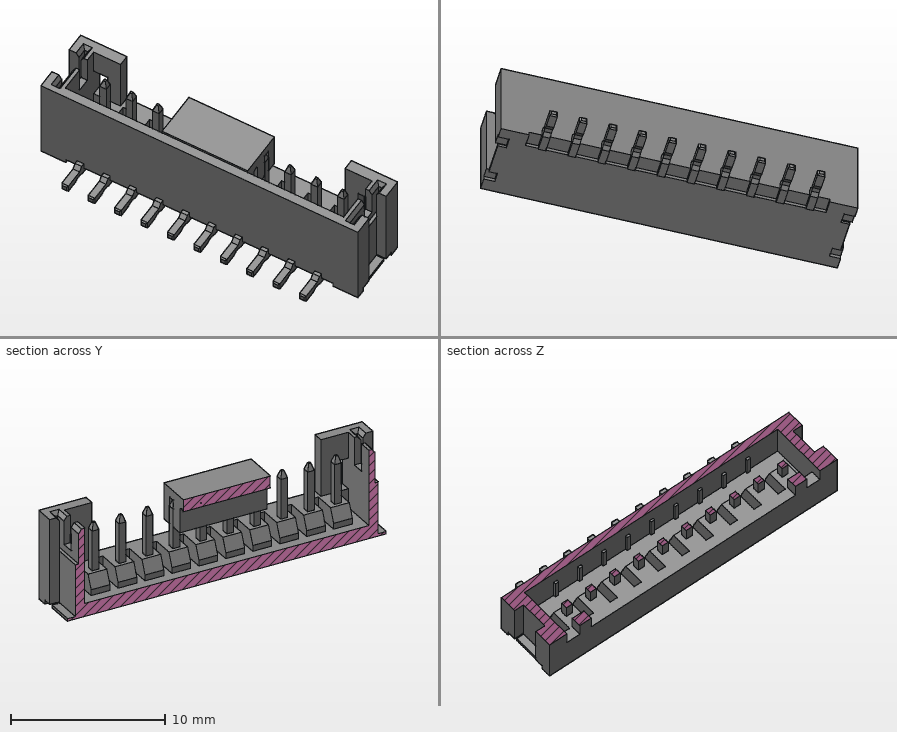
import cadquery as cq


LENGTH = 24.0
DEPTH = 5.0
HEIGHT = 6.6
FRONT_WALL = 0.65
BACK_WALL = 0.8
END_WALL = 1.46
FLOOR_TOP = 1.0
LOW_WALL_TOP = 2.4
CORNER_LENGTH = 3.5
CAVITY_BACK = DEPTH - BACK_WALL
CAVITY_HALF = LENGTH / 2 - END_WALL

RECESS_FRONT = 1.4
RECESS_BACK = 3.55
RECESS_STEP_Z = 4.05
RECESS_LOWER = 0.75
RECESS_UPPER = 0.98
FOOT_PLATE_INSET = 0.17
FOOT_PLATE_TOP = 0.22
GROOVE_FRONT = 0.65
GROOVE_BACK = 4.25
LEAD_IN = 0.22
LEAD_IN_HEIGHT = 0.3
END_SLOT_FRONT = 2.45
END_SLOT_BACK = 3.4
END_SLOT_BOTTOM = 4.55

RELIEF_HEIGHT = 0.3
RELIEF_HALF = 10.1
FRONT_RELIEF_DEPTH = 0.9
NOTCH_FRONT = 0.7

PIN_COUNT = 10
PITCH = LENGTH / 12
PIN = 0.5
PIN_Y = 3.07
PIN_TOP = 5.85
PIN_TIP = 0.17
PIN_TAPER = 0.5
TAIL_END = -2.02
TAIL_BOTTOM = -0.1
TAIL_TOP = 0.43
TAIL_CHAMFER = 0.1
SHOULDER_TOP = 0.72
SHOULDER_END = -0.26
SHOULDER_SLOPE_END = -0.53
ARCH_TOP = 0.05
ARCH_BACK = -0.17
ARCH_TOP_BACK = -0.48
ARCH_TOP_FRONT = -0.77
ARCH_FRONT = -1.05

TOOTH_WIDTH = 1.4
TOOTH_FRONT = 2.15
TOOTH_TOP_FRONT = 2.57
TOOTH_SLOPE_BOTTOM = 1.45
RIB_WIDTH = 0.3
RIB_DEPTH = 0.17
WINDOW_WIDTH = 1.05
WINDOW_TOP = 4.68

CAP_LENGTH = 6.48
CAP_FRONT = 0.7
CAP_BACK = 4.05
CAP_BOTTOM = 4.0
CAP_TOP = HEIGHT + 0.1
CHANNEL_TOP = 6.0
CLIP_CHANNEL_Y = 1.7
CLIP_CHANNEL_WIDTH = 0.48
CLIP_CHANNEL_TOP = 5.9

pin_places = [(i - (PIN_COUNT - 1) / 2) * PITCH for i in range(PIN_COUNT)]
rib_places = [x + PITCH / 2 for x in pin_places[:-1]]


def block(x0, x1, y0, y1, z0, z1):
    """Box between two opposite corners."""
    return cq.Workplane("XY").box(x1 - x0, y1 - y0, z1 - z0, centered=False).translate((x0, y0, z0))


def side_prism(outline, x, width):
    """Prism of a (y, z) outline, centred on x and running along X."""
    return cq.Workplane("YZ", origin=(x - width / 2, 0, 0)).polyline(outline).close().extrude(width)


def make_end_cut():
    """Material removed at the left end: outer recess, latch groove and slot into the cavity."""
    end = -LENGTH / 2
    inner = end + RECESS_UPPER
    outer = end + RECESS_LOWER
    cut = block(end, outer, RECESS_FRONT, RECESS_BACK, FOOT_PLATE_TOP, HEIGHT)
    plate_gap = block(end, end + FOOT_PLATE_INSET, RECESS_FRONT, RECESS_BACK, 0, FOOT_PLATE_TOP)
    groove = block(outer, inner, GROOVE_FRONT, GROOVE_BACK, RECESS_STEP_Z, HEIGHT)
    middle_x = (outer + inner) / 2
    middle_y = (GROOVE_FRONT + GROOVE_BACK) / 2
    lead_in = (
        cq.Workplane("XY", origin=(middle_x, middle_y, HEIGHT - LEAD_IN_HEIGHT))
        .rect(inner - outer, GROOVE_BACK - GROOVE_FRONT)
        .workplane(offset=LEAD_IN_HEIGHT)
        .rect(inner - outer + 2 * LEAD_IN, GROOVE_BACK - GROOVE_FRONT + 2 * LEAD_IN)
        .loft(ruled=True)
    )
    slot = block(outer, -CAVITY_HALF, END_SLOT_FRONT, END_SLOT_BACK, END_SLOT_BOTTOM, HEIGHT)
    cut = cut.union(plate_gap).union(groove).union(lead_in).union(slot)
    for y0, y1 in ((NOTCH_FRONT, RECESS_FRONT), (RECESS_BACK, CAVITY_BACK)):
        cut = cut.union(block(end, outer, y0, y1, 0, RELIEF_HEIGHT))
    return cut


def make_shroud():
    body = block(-LENGTH / 2, LENGTH / 2, 0, DEPTH, 0, HEIGHT)
    body = body.cut(block(-CAVITY_HALF, CAVITY_HALF, FRONT_WALL, CAVITY_BACK, FLOOR_TOP, HEIGHT))

    low_half = LENGTH / 2 - CORNER_LENGTH
    body = body.cut(block(-low_half, low_half, CAVITY_BACK, DEPTH, LOW_WALL_TOP, HEIGHT))

    window_start = CAVITY_HALF - WINDOW_WIDTH
    window = block(window_start, CAVITY_HALF, CAVITY_BACK, DEPTH, LOW_WALL_TOP, WINDOW_TOP)
    body = body.cut(window).cut(window.mirror("YZ"))

    end_cut = make_end_cut()
    body = body.cut(end_cut).cut(end_cut.mirror("YZ"))
    return body.cut(block(-RELIEF_HALF, RELIEF_HALF, 0, FRONT_RELIEF_DEPTH, 0, RELIEF_HEIGHT))


def make_tooth(x):
    """Block standing against the back wall, with a sloped front."""
    outline = [
        (TOOTH_FRONT, FLOOR_TOP),
        (CAVITY_BACK, FLOOR_TOP),
        (CAVITY_BACK, LOW_WALL_TOP),
        (TOOTH_TOP_FRONT, LOW_WALL_TOP),
        (TOOTH_FRONT, TOOTH_SLOPE_BOTTOM),
    ]
    return side_prism(outline, x, TOOTH_WIDTH)


def make_rib(x):
    half = RIB_WIDTH / 2
    return block(x - half, x + half, FRONT_WALL, FRONT_WALL + RIB_DEPTH, FLOOR_TOP, LOW_WALL_TOP)


def make_pin(x):
    """Upright contact with a tapered tip, and a tail leaving under the front wall."""
    taper_start = PIN_TOP - PIN_TAPER
    half = PIN / 2
    post = block(x - half, x + half, PIN_Y - half, PIN_Y + half, FLOOR_TOP, taper_start)
    tip = (
        cq.Workplane("XY", origin=(x, PIN_Y, taper_start))
        .rect(PIN, PIN)
        .workplane(offset=PIN_TAPER)
        .rect(PIN_TIP, PIN_TIP)
        .loft(ruled=True)
    )
    tail_outline = [
        (FRONT_RELIEF_DEPTH, TAIL_BOTTOM),
        (FRONT_RELIEF_DEPTH, SHOULDER_TOP),
        (SHOULDER_END, SHOULDER_TOP),
        (SHOULDER_SLOPE_END, TAIL_TOP),
        (TAIL_END, TAIL_TOP),
        (TAIL_END, TAIL_BOTTOM),
        (ARCH_FRONT, TAIL_BOTTOM),
        (ARCH_TOP_FRONT, ARCH_TOP),
        (ARCH_TOP_BACK, ARCH_TOP),
        (ARCH_BACK, TAIL_BOTTOM),
    ]
    tail = side_prism(tail_outline, x, PIN).faces("<Y").chamfer(TAIL_CHAMFER)
    return post.union(tip).union(tail)


def make_cap():
    """Cap gripping the middle pins in a channel along its length."""
    half = CAP_LENGTH / 2
    cap = block(-half, half, CAP_FRONT, CAP_BACK, CAP_BOTTOM, CAP_TOP)
    cap = cap.cut(block(-half, half, PIN_Y - PIN / 2, PIN_Y + PIN / 2, CAP_BOTTOM, CHANNEL_TOP))

    side = CLIP_CHANNEL_WIDTH / 2
    shoulder = CLIP_CHANNEL_TOP - side
    clip_channel = (
        cq.Workplane("YZ", origin=(-half, 0, 0))
        .moveTo(CLIP_CHANNEL_Y - side, CAP_BOTTOM)
        .lineTo(CLIP_CHANNEL_Y - side, shoulder)
        .threePointArc((CLIP_CHANNEL_Y, CLIP_CHANNEL_TOP), (CLIP_CHANNEL_Y + side, shoulder))
        .lineTo(CLIP_CHANNEL_Y + side, CAP_BOTTOM)
        .close()
        .extrude(CAP_LENGTH)
    )
    return cap.cut(clip_channel)


result = make_shroud()
for place in pin_places:
    result = result.union(make_tooth(place)).union(make_pin(place))
for place in rib_places:
    result = result.union(make_rib(place))
result = result.union(make_cap())